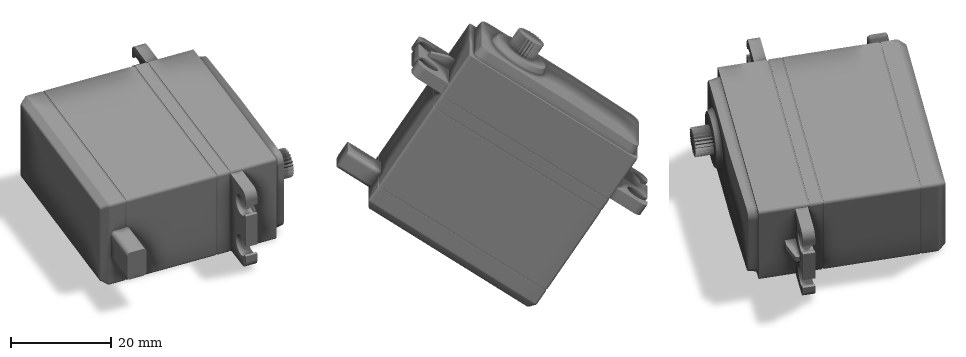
import cadquery as cq
import math


case_width = 40.05
case_height = 20.2
case_top = 38.2
case_edge_radius = 0.6
back_bevel_depth = 1.65
back_bevel_inset = 1.0

groove_starts = (5.1, 25.0, 27.85)
groove_width = 0.4
groove_depth = 0.15

tab_span = 54.55
tab_height = 19.0
tab_thickness = 2.55
tab_back = groove_starts[-1] + groove_width
tab_front = tab_back + tab_thickness
tab_corner_radius = 1.8
hole_spacing_x = 49.5
hole_spacing_z = 10.05
hole_diameter = 4.5
slot_width = 2.3

rib_thickness = 1.3
rib_reach = 4.9
rib_flat = 1.3
rib_end_height = 0.95
rib_root_height = 2.15

cover_left = -19.35
cover_right = 18.9
cover_height_z = 18.65
cover_rise = 2.3
cover_left_rise = 1.95
cover_slope_end = -2.75
cover_draft_inset = 0.35
cover_corner_radius = 1.9
cover_top = case_top + cover_rise

shaft_x = 9.9
boss_base_radius = 6.35
boss_top_radius = 5.75
boss_rise = 1.15
boss_top = cover_top + boss_rise
spline_teeth = 25
spline_tip_radius = 3.05
spline_root_radius = 2.55
shaft_end = 45.4

overall_length = 55.15
cable_end = overall_length - tab_span / 2
cable_height_z = 6.75
cable_back = 2.0
cable_thickness = 4.2
cable_edge_radius = 0.8


def block(x_min, x_max, y_min, y_max, height_z):
    """Box given by its X and Y limits, centred on Z."""
    return (
        cq.Workplane("XY")
        .box(x_max - x_min, y_max - y_min, height_z)
        .translate(((x_min + x_max) / 2, (y_min + y_max) / 2, 0))
    )


def plane_at(y, x=0):
    """Workplane facing +Y with local x along -X and local y along +Z."""
    return cq.Workplane(cq.Plane(origin=(x, y, 0), xDir=(-1, 0, 0), normal=(0, 1, 0)))


def make_case():
    back = plane_at(0).rect(case_width - 2 * back_bevel_inset, case_height - 2 * back_bevel_inset)
    bevel = back.workplane(offset=back_bevel_depth).rect(case_width, case_height).loft()
    half_width = case_width / 2
    body = bevel.union(block(-half_width, half_width, back_bevel_depth, case_top, case_height))
    return body.edges("not >Y").fillet(case_edge_radius)


def make_groove(start):
    ring = block(-case_width, case_width, start, start + groove_width, 2 * case_height)
    core = plane_at(start).rect(case_width - 2 * groove_depth, case_height - 2 * groove_depth)
    core = core.extrude(groove_width).edges("|Y").fillet(case_edge_radius - groove_depth)
    return ring.cut(core)


def make_tabs():
    plate = block(-tab_span / 2, tab_span / 2, tab_back, tab_front, tab_height)
    plate = plate.edges("|Y").fillet(tab_corner_radius)
    holes = plane_at(tab_back).rarray(hole_spacing_x, hole_spacing_z, 2, 2)
    plate = plate.cut(holes.circle(hole_diameter / 2).extrude(tab_thickness))
    slots = plane_at(tab_back).rarray(tab_span, hole_spacing_z, 2, 2)
    slot_length = tab_span - hole_spacing_x
    return plate.cut(slots.rect(slot_length, slot_width).extrude(tab_thickness))


def make_rib():
    root_x = case_width / 2
    return (
        cq.Workplane("XY")
        .moveTo(root_x - case_edge_radius, tab_front)
        .lineTo(root_x + rib_reach, tab_front)
        .lineTo(root_x + rib_reach, tab_front + rib_end_height)
        .lineTo(root_x + rib_flat, tab_front + rib_root_height)
        .lineTo(root_x - case_edge_radius, tab_front + rib_root_height)
        .close()
        .extrude(rib_thickness / 2, both=True)
    )


def make_cover():
    length = cover_right - cover_left
    base = cq.Sketch().rect(length, cover_height_z).vertices().fillet(cover_corner_radius)
    top = cq.Sketch().rect(length - 2 * cover_draft_inset, cover_height_z - 2 * cover_draft_inset)
    top = top.vertices().fillet(cover_corner_radius)
    middle_x = (cover_left + cover_right) / 2
    cover = plane_at(case_top, middle_x).placeSketch(
        base, top.moved(cq.Location(cq.Vector(0, 0, cover_rise)))
    ).loft()
    slope_cut = (
        cq.Workplane("XY")
        .moveTo(cover_slope_end, cover_top)
        .lineTo(cover_left, cover_top)
        .lineTo(cover_left, case_top + cover_left_rise)
        .close()
        .extrude(cover_height_z, both=True)
    )
    return cover.cut(slope_cut)


def make_boss():
    return (
        cq.Workplane("XY")
        .moveTo(0, cover_top)
        .lineTo(boss_base_radius, cover_top)
        .lineTo(boss_top_radius, boss_top)
        .lineTo(0, boss_top)
        .close()
        .revolve(360, (0, 0, 0), (0, 1, 0))
        .translate((shaft_x, 0, 0))
    )


def make_shaft():
    """V-toothed spline with one valley facing +Z."""
    points = []
    for i in range(2 * spline_teeth):
        angle = math.pi * i / spline_teeth
        radius = spline_tip_radius if i % 2 else spline_root_radius
        points.append((radius * math.sin(angle), radius * math.cos(angle)))
    return plane_at(boss_top, shaft_x).polyline(points).close().extrude(shaft_end - boss_top)


def make_cable_exit():
    start = case_width / 2 - case_edge_radius
    exit_block = block(start, cable_end, cable_back, cable_back + cable_thickness, cable_height_z)
    return exit_block.edges("|X").fillet(cable_edge_radius)


result = make_case()
for groove_start in groove_starts:
    result = result.cut(make_groove(groove_start))

rib = make_rib()
for feature in (
    make_tabs(),
    rib,
    rib.mirror("YZ"),
    make_cover(),
    make_boss(),
    make_shaft(),
    make_cable_exit(),
):
    result = result.union(feature)